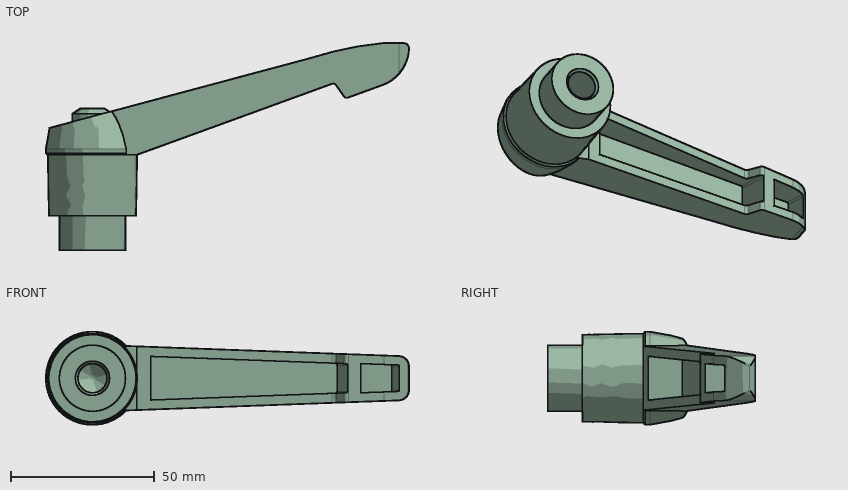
import cadquery as cq
import math


insert_radius = 11.5
insert_length = 12.0
skirt_bottom_radius = 15.2
skirt_mid_radius = 15.4
skirt_top_radius = 15.5
skirt_top_y = 33.2
collar_radius = 16.22
collar_bevel = 0.6
collar_top_y = 35.4
head_mid_radius = 15.0
head_mid_y = 42.2
head_top_radius = 13.1
head_top_y = 48.7

screw_radius = 7.1
screw_tip_radius = 4.2
screw_shoulder_y = 47.5
screw_top_y = 49.4

bore_radius = 5.0
bore_depth = 20.2
bore_chamfer = 0.9
drill_half_angle = 59.0

arm_top_slope = math.tan(math.radians(15))
arm_top_at_axis = 46.6
arm_under_slope = math.tan(math.radians(20))
arm_under_start_x = 15.47
bend_start_x = 75.8
bend_mid = (91.7, 70.8)
bend_end_x = 101.0
arm_top_y = 72.1
tip_x = 126.2 - collar_radius
tip_round = 2.0
tip_arc_end = (101.1, 57.6)
tip_arc_mid = (106.7, 61.6)
step_heel_x = 87.9
step_root_x = 84.1
step_fillet = 1.3

arm_half_at_axis = 11.68
arm_taper = 0.037
corner_round = 3.8

pocket_skin = 5.3
pocket_end_draft = 1 / 3
pocket_corner_round = 0.6
grip_wall = 3.2
main_wall = 3.35
main_pocket_start_x = 20.2
main_pocket_floor_end_x = 85.0
grip_pocket_start_x = 93.2
grip_pocket_floor_end_x = 104.0


def arm_top(x):
    return arm_top_at_axis + arm_top_slope * x


def arm_under(x):
    return skirt_top_y + arm_under_slope * (x - arm_under_start_x)


def grip_under(x):
    return tip_arc_end[1] + arm_under_slope * (x - tip_arc_end[0])


def pocket_floor(x):
    return arm_top(x) - pocket_skin


def arm_half_width(x):
    return arm_half_at_axis - arm_taper * x


def revolve_about_y(profile):
    return profile.close().revolve(360, (0, 0, 0), (0, 1, 0))


def make_hub():
    """Insert, skirt, collar and domed head, cut off along the top slope of the arm."""
    skirt_mid_y = (insert_length + skirt_top_y) / 2
    body = revolve_about_y(
        cq.Workplane("XY")
        .lineTo(insert_radius, 0)
        .lineTo(insert_radius, insert_length)
        .lineTo(skirt_bottom_radius, insert_length)
        .threePointArc((skirt_mid_radius, skirt_mid_y), (skirt_top_radius, skirt_top_y))
        .lineTo(collar_radius, skirt_top_y + collar_bevel)
        .lineTo(collar_radius, collar_top_y)
        .threePointArc((head_mid_radius, head_mid_y), (head_top_radius, head_top_y))
        .lineTo(0, head_top_y)
    )
    reach = 2 * collar_radius
    above_slope = (
        cq.Workplane("XY")
        .polyline([
            (-reach, arm_top(-reach)),
            (reach, arm_top(reach)),
            (reach, arm_top_y),
            (-reach, arm_top_y),
        ])
        .close()
        .extrude(collar_radius, both=True)
    )
    return body.cut(above_slope)


def make_screw_end():
    return revolve_about_y(
        cq.Workplane("XY")
        .moveTo(0, collar_top_y)
        .lineTo(screw_radius, collar_top_y)
        .lineTo(screw_radius, screw_shoulder_y)
        .lineTo(screw_tip_radius, screw_top_y)
        .lineTo(0, screw_top_y)
    )


def make_bore():
    cone_depth = bore_radius / math.tan(math.radians(drill_half_angle))
    return revolve_about_y(
        cq.Workplane("XY")
        .lineTo(bore_radius + bore_chamfer, 0)
        .lineTo(bore_radius, bore_chamfer)
        .lineTo(bore_radius, bore_depth)
        .lineTo(0, bore_depth + cone_depth)
    )


def make_arm():
    """Side profile of the arm trimmed by its tapered plan with rounded end corners."""
    tip_mid_offset = tip_round * (1 - math.sqrt(0.5))
    profile = (
        cq.Workplane("XY")
        .moveTo(0, skirt_top_y)
        .lineTo(0, arm_top(0))
        .lineTo(bend_start_x, arm_top(bend_start_x))
        .threePointArc(bend_mid, (bend_end_x, arm_top_y))
        .lineTo(tip_x - tip_round, arm_top_y)
        .threePointArc(
            (tip_x - tip_mid_offset, arm_top_y - tip_mid_offset),
            (tip_x, arm_top_y - tip_round),
        )
        .threePointArc(tip_arc_mid, tip_arc_end)
        .lineTo(step_heel_x, grip_under(step_heel_x))
        .lineTo(step_root_x, arm_under(step_root_x))
        .lineTo(arm_under_start_x, skirt_top_y)
        .close()
        .extrude(arm_half_at_axis, both=True)
    )
    step_edges = cq.selectors.BoxSelector(
        (step_root_x - 1.3, arm_under(step_root_x) + 1.3, -arm_half_at_axis),
        (step_heel_x + 1.3, grip_under(step_heel_x) - 1.3, arm_half_at_axis),
    )
    profile = profile.edges("|Z").edges(step_edges).fillet(step_fillet)
    plan = (
        cq.Workplane("XZ")
        .polyline([
            (0, arm_half_width(0)),
            (tip_x, arm_half_width(tip_x)),
            (tip_x, -arm_half_width(tip_x)),
            (0, -arm_half_width(0)),
        ])
        .close()
        .extrude(-arm_top_y)
        .edges("|Y and >X")
        .fillet(corner_round)
    )
    return profile.intersect(plan)


def make_pocket(start_x, floor_end_x, wall):
    """Tapered pocket open towards -Y, with a sloping floor and a drafted outer end."""
    open_end_x = floor_end_x + pocket_end_draft * pocket_floor(floor_end_x)
    side = (
        cq.Workplane("XY")
        .polyline([
            (start_x, 0),
            (start_x, pocket_floor(start_x)),
            (floor_end_x, pocket_floor(floor_end_x)),
            (open_end_x, 0),
        ])
        .close()
        .extrude(arm_half_at_axis, both=True)
    )
    plan = (
        cq.Workplane("XZ")
        .polyline([
            (start_x, arm_half_width(start_x) - wall),
            (open_end_x, arm_half_width(open_end_x) - wall),
            (open_end_x, wall - arm_half_width(open_end_x)),
            (start_x, wall - arm_half_width(start_x)),
        ])
        .close()
        .extrude(-arm_top_y)
    )
    pocket = side.intersect(plan)
    return pocket.faces(">X").edges("not |Z").fillet(pocket_corner_round)


main_pocket = make_pocket(main_pocket_start_x, main_pocket_floor_end_x, main_wall)
grip_pocket = make_pocket(grip_pocket_start_x, grip_pocket_floor_end_x, grip_wall)

arm = make_arm().cut(main_pocket).cut(grip_pocket)
result = make_hub().union(arm).union(make_screw_end()).cut(make_bore())